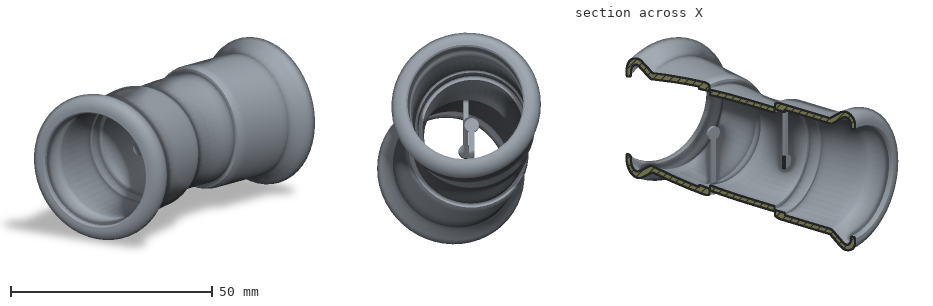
import cadquery as cq
import math

BEND_ANGLE = 15.0
BEND_RADIUS = 42.2
PIPE_OUTER_RADIUS = 28.0 / 2
PIPE_BORE_RADIUS = 25.0 / 2
ARM_LENGTH = 29.95

SOCKET_OUTER_RADIUS = 31.3 / 2
SOCKET_BORE_RADIUS = 28.2 / 2
WALL = SOCKET_OUTER_RADIUS - SOCKET_BORE_RADIUS
SOCKET_END_DEPTH = 25.5
ROUNDING_DEPTH = 23.0
SOCKET_END_RADIUS = 15.1
ROUNDING_BULGE = 0.2
SHOULDER_DEPTH = 22.2
COUNTERBORE_RADIUS = 27.0 / 2
STOP_DEPTH = 25.5

BEAD_OUTER_RADIUS = 37.2 / 2
BEAD_CENTRE_RADIUS = 15.6
BEAD_RADIUS = BEAD_OUTER_RADIUS - BEAD_CENTRE_RADIUS
GROOVE_RADIUS = BEAD_RADIUS - WALL
LIP_RADIUS = 28.8 / 2
LIP_CHAMFER = 0.4
CONE_ANGLE = math.radians(36.0)
CONE_FILLET = 1.8

TAG_THICKNESS = 0.75
TAG_DISC_RADIUS = 1.8
TAG_STEM_WIDTH = 1.25


def bead_point(radius, angle):
    """Point (radius, depth) on a circle about the bead centre, from straight outwards."""
    return (
        BEAD_CENTRE_RADIUS + radius * math.cos(angle),
        BEAD_RADIUS + radius * math.sin(angle),
    )


def cone_end(start, end_radius):
    """Point where the cone running inwards from start reaches end_radius."""
    return (end_radius, start[1] + (start[0] - end_radius) / math.tan(CONE_ANGLE))


def revolve_about_y(profile):
    return profile.close().revolve(360, (0, 0, 0), (0, 1, 0))


def arm_outside():
    """Solid straight arm: bead, cone, socket and pipe end."""
    cone_start = bead_point(BEAD_RADIUS, CONE_ANGLE)
    rounding_middle = (
        (SOCKET_OUTER_RADIUS + SOCKET_END_RADIUS) / 2 + ROUNDING_BULGE,
        (ROUNDING_DEPTH + SOCKET_END_DEPTH) / 2,
    )
    profile = (
        cq.Workplane("XY")
        .lineTo(BEAD_CENTRE_RADIUS, 0)
        .threePointArc(bead_point(BEAD_RADIUS, 0), cone_start)
        .lineTo(*cone_end(cone_start, SOCKET_OUTER_RADIUS))
        .lineTo(SOCKET_OUTER_RADIUS, ROUNDING_DEPTH)
        .threePointArc(rounding_middle, (SOCKET_END_RADIUS, SOCKET_END_DEPTH))
        .lineTo(PIPE_OUTER_RADIUS, SOCKET_END_DEPTH)
        .lineTo(PIPE_OUTER_RADIUS, ARM_LENGTH)
        .lineTo(0, ARM_LENGTH)
    )
    return revolve_about_y(profile)


def arm_inside():
    """Hollow of one arm: lip, seal groove, socket bore, counterbore and pipe bore."""
    cone_start = bead_point(GROOVE_RADIUS, CONE_ANGLE)
    corner = cone_end(cone_start, SOCKET_BORE_RADIUS)
    tangent = CONE_FILLET * math.tan(CONE_ANGLE / 2)
    fillet_centre_radius = SOCKET_BORE_RADIUS + CONE_FILLET
    fillet_end_depth = corner[1] + tangent
    fillet_start = (
        corner[0] + tangent * math.sin(CONE_ANGLE),
        corner[1] - tangent * math.cos(CONE_ANGLE),
    )
    fillet_middle = (
        fillet_centre_radius - CONE_FILLET * math.cos(CONE_ANGLE / 2),
        fillet_end_depth - CONE_FILLET * math.sin(CONE_ANGLE / 2),
    )
    profile = (
        cq.Workplane("XY")
        .lineTo(LIP_RADIUS + LIP_CHAMFER, 0)
        .lineTo(LIP_RADIUS, LIP_CHAMFER)
        .lineTo(LIP_RADIUS, WALL - LIP_CHAMFER)
        .lineTo(LIP_RADIUS + LIP_CHAMFER, WALL)
        .lineTo(BEAD_CENTRE_RADIUS, WALL)
        .threePointArc(bead_point(GROOVE_RADIUS, 0), cone_start)
        .lineTo(*fillet_start)
        .threePointArc(fillet_middle, (SOCKET_BORE_RADIUS, fillet_end_depth))
        .lineTo(SOCKET_BORE_RADIUS, SHOULDER_DEPTH)
        .lineTo(COUNTERBORE_RADIUS, SHOULDER_DEPTH)
        .lineTo(COUNTERBORE_RADIUS, STOP_DEPTH)
        .lineTo(PIPE_BORE_RADIUS, STOP_DEPTH)
        .lineTo(PIPE_BORE_RADIUS, ARM_LENGTH)
        .lineTo(0, ARM_LENGTH)
    )
    return revolve_about_y(profile)


def bend(radius):
    """Solid curved length of round bar joining the two arms."""
    return (
        cq.Workplane("XZ", origin=(0, ARM_LENGTH, 0))
        .circle(radius)
        .revolve(BEND_ANGLE, (BEND_RADIUS, 0, 0), (BEND_RADIUS, -1, 0))
    )


def at_far_end(shape):
    """Turn a near-end shape half round about Z, then carry it round the bend."""
    bend_centre = (BEND_RADIUS, ARM_LENGTH, 0)
    above_bend_centre = (BEND_RADIUS, ARM_LENGTH, 1)
    return (
        shape.rotate((0, ARM_LENGTH, 0), (0, ARM_LENGTH, 1), 180)
        .rotate(bend_centre, above_bend_centre, -BEND_ANGLE)
    )


def make_fitting():
    outside = arm_outside()
    inside = arm_inside()
    body = outside.union(bend(PIPE_OUTER_RADIUS)).union(at_far_end(outside))
    for hollow in (inside, bend(PIPE_BORE_RADIUS), at_far_end(inside)):
        body = body.cut(hollow)
    return body


def make_tag():
    """Near-end tag, its stem reaching up to the counterbore wall."""
    back = cq.Workplane("XZ", origin=(0, SHOULDER_DEPTH + TAG_THICKNESS, 0))
    disc = back.circle(TAG_DISC_RADIUS).extrude(TAG_THICKNESS)
    stem = (
        back.center(0, COUNTERBORE_RADIUS / 2)
        .rect(TAG_STEM_WIDTH, COUNTERBORE_RADIUS)
        .extrude(TAG_THICKNESS)
    )
    envelope = back.circle(COUNTERBORE_RADIUS).extrude(TAG_THICKNESS)
    return disc.union(stem).intersect(envelope)


fitting = make_fitting()
near_tag = make_tag()
far_tag = at_far_end(near_tag.rotate((0, 0, 0), (0, 1, 0), 180))

tags = [tag.val() for tag in (near_tag, far_tag)]
result = cq.Compound.makeCompound([fitting.val(), *tags])